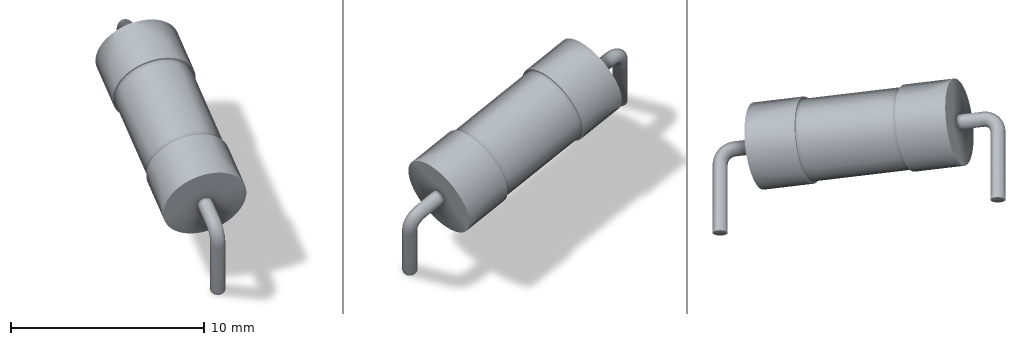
import cadquery as cq

overall_length = 15.98
overall_height = 6.82

body_length = 11.0
cap_diameter = 4.55
barrel_diameter = 4.31
cap_length = body_length / 4

lead_diameter = 0.78
bend_radius = lead_diameter
lead_offset = (overall_length - lead_diameter) / 2
leg_bottom = cap_diameter / 2 - overall_height


def make_resistor_body():
    """Cylindrical barrel with a slightly wider cap at each end."""
    barrel_length = body_length - 2 * cap_length
    return (
        cq.Workplane("YZ", origin=(-body_length / 2, 0, 0))
        .circle(cap_diameter / 2)
        .extrude(cap_length)
        .faces(">X")
        .workplane()
        .circle(barrel_diameter / 2)
        .extrude(barrel_length)
        .faces(">X")
        .workplane()
        .circle(cap_diameter / 2)
        .extrude(cap_length)
    )


def make_lead(side):
    """Round wire from an end face, bent down; side is -1 for -X or +1 for +X."""
    face_x = side * body_length / 2
    leg_x = side * lead_offset
    bend_start_x = side * (lead_offset - bend_radius)
    centerline = (
        cq.Workplane("XZ")
        .moveTo(face_x, 0)
        .lineTo(bend_start_x, 0)
        .tangentArcPoint((leg_x, -bend_radius), relative=False)
        .lineTo(leg_x, leg_bottom)
    )
    return (
        cq.Workplane("YZ", origin=(face_x, 0, 0))
        .circle(lead_diameter / 2)
        .sweep(centerline)
    )


resistor_body = make_resistor_body()
leads = [make_lead(side) for side in (-1, 1)]

result = cq.Compound.makeCompound([resistor_body.val(), *[lead.val() for lead in leads]])